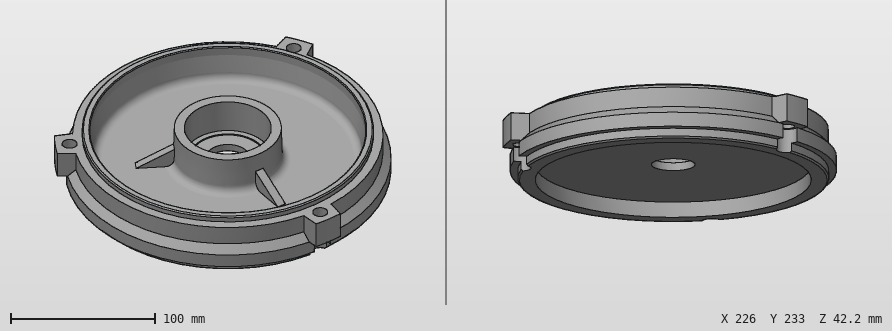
import cadquery as cq
import math

spigot_height = 6.8
flange_top = 16.8
shoulder_base = 22.4
shoulder_top = 36.3
rim_top = 40.8
hub_top = 42.2
floor_top = 14.2
floor_bottom = 11.0
bearing_seat = 17.5
seat_recess = 16.5

spigot_radius = 107.5
flange_radius = 113.0
shoulder_radius = flange_radius - (shoulder_base - flange_top)
rim_radius = 100.8
cavity_radius = 95.5
cavity_root_radius = 93.5
cavity_draft_start = 33.5
hub_radius = 37.0
hub_root_radius = 37.7
bearing_radius = 30.0
seat_recess_radius = 26.0
shaft_radius = 15.1
corner_radius = 6.0
spigot_chamfer = 1.2
rim_chamfer = 1.0
rim_inner_chamfer = 0.7

directions = (90, 210, 330)
lug_tip_radius = 120.0
lug_tip_half_width = 10.2
lug_root_radius = 102.5
lug_root_half_width = 12.0
bolt_circle_radius = 110.0
bolt_hole_radius = 5.1
bolt_relief_radius = 7.5

rib_width = 6.5
rib_end_radius = 64.0
rib_height = 14.7
rib_root_radius = (bearing_radius + hub_radius) / 2


def around_axis(shape):
    """Union of copies of a shape, modelled along +X, turned to the three directions."""
    copies = cq.Workplane("XY")
    for angle in directions:
        copies = copies.add(shape.rotate((0, 0, 0), (0, 0, 1), angle))
    return copies.combine()


def turned_body():
    """Cover without lugs: a dished plate with an outer wall and a central bearing hub."""
    fillet_top = floor_top + corner_radius
    wall_fillet_end = cavity_root_radius - corner_radius
    hub_fillet_end = hub_root_radius + corner_radius
    bend = corner_radius * math.sqrt(0.5)
    bend_height = fillet_top - bend
    profile = (
        cq.Workplane("XZ")
        .moveTo(shaft_radius, floor_bottom)
        .lineTo(cavity_radius, floor_bottom)
        .lineTo(cavity_radius, 0)
        .lineTo(spigot_radius - spigot_chamfer, 0)
        .lineTo(spigot_radius, spigot_chamfer)
        .lineTo(spigot_radius, spigot_height)
        .lineTo(flange_radius, spigot_height)
        .lineTo(flange_radius, flange_top)
        .lineTo(shoulder_radius, shoulder_base)
        .lineTo(shoulder_radius, shoulder_top)
        .lineTo(rim_radius, shoulder_top)
        .lineTo(rim_radius, rim_top - rim_chamfer)
        .lineTo(rim_radius - rim_chamfer, rim_top)
        .lineTo(cavity_radius + rim_inner_chamfer, rim_top)
        .lineTo(cavity_radius, rim_top - rim_inner_chamfer)
        .lineTo(cavity_radius, cavity_draft_start)
        .lineTo(cavity_root_radius, fillet_top)
        .threePointArc((wall_fillet_end + bend, bend_height), (wall_fillet_end, floor_top))
        .lineTo(hub_fillet_end, floor_top)
        .threePointArc((hub_fillet_end - bend, bend_height), (hub_root_radius, fillet_top))
        .lineTo(hub_radius, hub_top)
        .lineTo(bearing_radius, hub_top)
        .lineTo(bearing_radius, bearing_seat)
        .lineTo(seat_recess_radius, bearing_seat)
        .lineTo(seat_recess_radius, seat_recess)
        .lineTo(shaft_radius, seat_recess)
        .close()
    )
    return profile.revolve(360, (0, 0, 0), (0, 1, 0))


def lug():
    """Tapered lug with a round tip, from the flange edge up to the shoulder."""
    tip_x = math.sqrt(lug_tip_radius**2 - lug_tip_half_width**2)
    return (
        cq.Workplane("XY", origin=(0, 0, flange_top))
        .moveTo(lug_root_radius, -lug_root_half_width)
        .lineTo(tip_x, -lug_tip_half_width)
        .threePointArc((lug_tip_radius, 0), (tip_x, lug_tip_half_width))
        .lineTo(lug_root_radius, lug_root_half_width)
        .close()
        .extrude(shoulder_top - flange_top)
    )


def bolt_cut():
    """Bolt hole through a lug, with the wider relief below it through flange and spigot."""
    base = cq.Workplane("XY").center(bolt_circle_radius, 0)
    hole = base.circle(bolt_hole_radius).extrude(shoulder_top)
    relief = base.circle(bolt_relief_radius).extrude(flange_top)
    return hole.union(relief)


def rib():
    """Triangular rib from the hub wall down to the floor."""
    slope = rib_height / (rib_end_radius - hub_radius)
    root_top = floor_top + slope * (rib_end_radius - rib_root_radius)
    return (
        cq.Workplane("XZ")
        .moveTo(rib_root_radius, floor_bottom)
        .lineTo(rib_end_radius, floor_bottom)
        .lineTo(rib_end_radius, floor_top)
        .lineTo(rib_root_radius, root_top)
        .close()
        .extrude(rib_width / 2, both=True)
    )


result = (
    turned_body()
    .union(around_axis(lug()))
    .union(around_axis(rib()))
    .cut(around_axis(bolt_cut()))
)